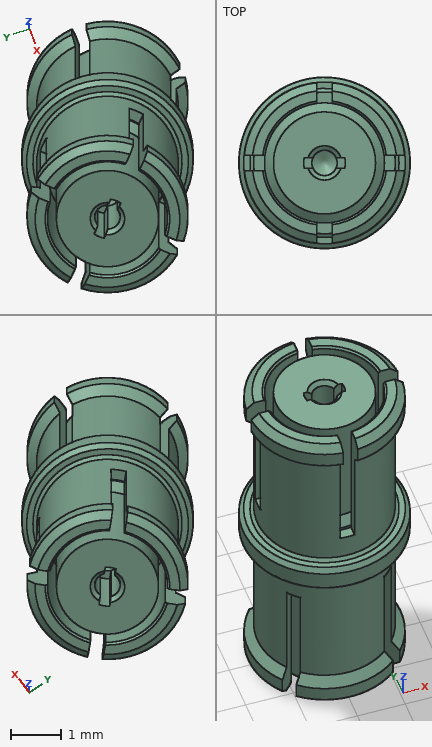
import cadquery as cq
import math

length = 7.39
half_length = length / 2

flange_radius = 1.7
flange_half_rim = 0.2
flange_chamfer = 0.095
flange_foot_half_height = 0.355
flange_foot_radius = 1.48

body_radius = 1.405
bore_radius = 1.19
bore_chamfer = 0.045
rim_radius = 1.595
rim_tip_radius = 1.43
rim_tip_chamfer_height = 0.14
rim_height = 0.465
rim_back_height = 0.65

core_radius = 1.01
core_recess = 0.03
core_flare_depth = 2.57
core_flare_height = bore_radius - core_radius

slot_width = 0.3
slot_depth = 2.81
slots_per_end = 4
slot_pitch = 360 / slots_per_end

socket_radius = 0.25
socket_mouth_radius = 0.34
socket_depth = 1.48
socket_tip_angle = 118
key_length = 0.83
key_width = 0.215


def make_end_blank():
    """Revolve the upper half: flange, sleeve, snap rim and core."""
    flange_half_height = flange_half_rim + flange_chamfer
    core_top = half_length - core_recess
    flare_top = half_length - core_flare_depth
    profile = [
        (0, 0),
        (flange_radius, 0),
        (flange_radius, flange_half_rim),
        (flange_radius - flange_chamfer, flange_half_height),
        (flange_foot_radius, flange_half_height),
        (body_radius, flange_foot_half_height),
        (body_radius, half_length - rim_back_height),
        (rim_radius, half_length - rim_height),
        (rim_radius, half_length - rim_tip_chamfer_height),
        (rim_tip_radius, half_length),
        (bore_radius + bore_chamfer, half_length),
        (bore_radius, half_length - bore_chamfer),
        (bore_radius, flare_top - core_flare_height),
        (core_radius, flare_top),
        (core_radius, core_top),
        (0, core_top),
    ]
    return cq.Workplane("XZ").polyline(profile).close().revolve(360, (0, 0), (0, 1))


def make_sleeve_slots():
    """Radial slots through the sleeve that stop at the core."""
    slots = cq.Workplane("XY")
    for index in range(slots_per_end):
        slot = (
            cq.Workplane("XY", origin=(0, 0, half_length - slot_depth))
            .rect(flange_radius, slot_width)
            .extrude(slot_depth)
            .translate((flange_radius / 2, 0, 0))
            .rotate((0, 0, 0), (0, 0, 1), index * slot_pitch)
        )
        slots = slots.add(slot)
    core_space = cq.Workplane("XY").circle(bore_radius).extrude(half_length)
    return slots.combine().cut(core_space)


def make_socket():
    """Countersunk blind hole with a conical bottom and a round-ended key slot."""
    mouth = half_length - core_recess
    floor = mouth - socket_depth
    tip_height = socket_radius / math.tan(math.radians(socket_tip_angle / 2))
    profile = [
        (0, mouth),
        (socket_mouth_radius, mouth),
        (socket_radius, mouth - (socket_mouth_radius - socket_radius)),
        (socket_radius, floor),
        (0, floor - tip_height),
    ]
    hole = cq.Workplane("XZ").polyline(profile).close().revolve(360, (0, 0), (0, 1))
    key_envelope = cq.Workplane("XY", origin=(0, 0, floor)).circle(key_length / 2).extrude(socket_depth)
    key = (
        cq.Workplane("XY", origin=(0, 0, floor))
        .rect(key_length, key_width)
        .extrude(socket_depth)
        .intersect(key_envelope)
    )
    return hole.union(key)


upper_end = make_end_blank().cut(make_sleeve_slots()).cut(make_socket())

lower_end = upper_end.rotate((0, 0, 0), (1, 0, 0), 180).rotate((0, 0, 0), (0, 0, 1), slot_pitch / 2)

result = upper_end.union(lower_end)